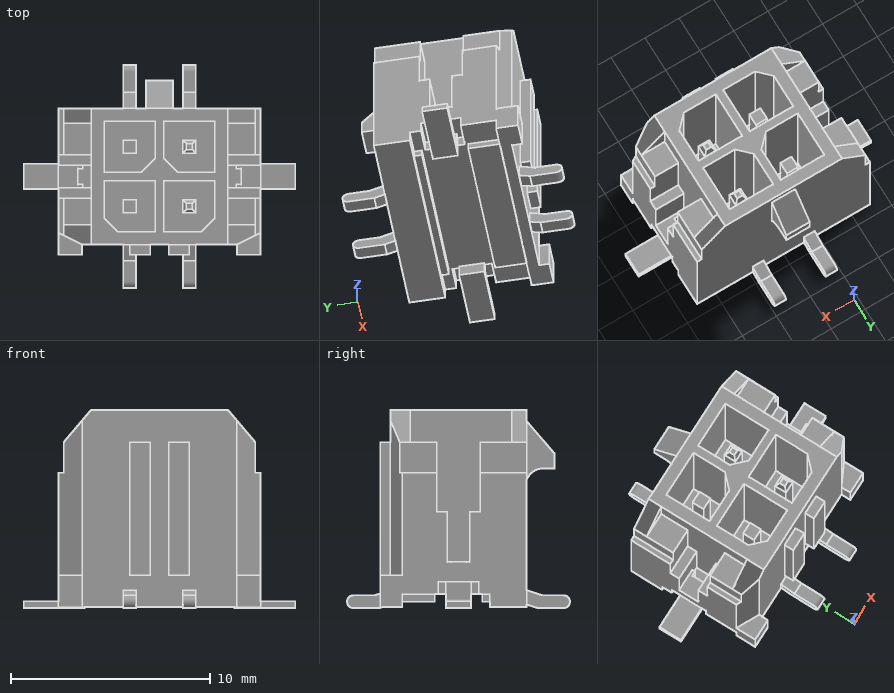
import cadquery as cq
import math

pitch = 3.0
standoff = 0.05
height = 9.96
core_half_x = 3.435
body_half_x = 5.08
body_half_y = 3.42
upper_half_x = 4.81
step_z = 6.8
shoulder_z = 8.34
front_web_thickness = 1.0
back_web_thickness = 0.75

slot_half_wide = 1.1
slot_wide_floor_z = 4.83
slot_half_narrow = 0.57
slot_narrow_floor_z = 2.33

corner_cut_x = 1.20
corner_cut_y = 0.6
foot_top_z = 1.66
front_projection = 0.52
rib_width = 1.03
rib_spacing = 1.94
rib_top_z = shoulder_z

relief_front_y = -body_half_y + corner_cut_y
relief_back_y = 1.58
core_bottom_z = 0.32
channel_half_y = 1.18
channel_roof_z = 0.70
notch_half_y = 1.01
notch_roof_z = 1.32

cavity_size = 2.56
cavity_chamfer = 0.69
cavity_floor_z = 2.0
contact_width = 0.65
contact_tip_width = 0.3
contact_tip_length = 0.4
contact_top_z = 7.0
tail_tip_y = 5.6
tail_bend_y = 4.22
tail_bend_offset = 0.25
tail_rise = 0.26
tail_embed = 0.4

tab_half_x = 6.825
tab_width = 1.28
tab_thickness = 0.35
tab_leg_x = 4.10
tab_bend_radius = 0.1
tab_pocket_half_y = 0.4
notch_wall_x = 3.85

latch_width = 1.37
latch_tip_y = 4.82
latch_top_z = 9.4
latch_nose_top_z = 7.77
latch_nose_bottom_z = 7.01
latch_arc_y = 4.25
latch_root_z = 6.43


def box(x_range, y_range, z_range):
    """Axis-aligned block spanning the three given (min, max) ranges."""
    size = [top - bottom for bottom, top in (x_range, y_range, z_range)]
    origin = (x_range[0], y_range[0], z_range[0])
    return cq.Workplane("XY").box(*size, centered=False).translate(origin)


def both_sides(left):
    """The given -X side feature together with its mirror image."""
    return left.union(left.mirror("YZ"))


def make_shell():
    """Stepped and sloped front outline, extruded from the front face to the back face."""
    half_outline = [
        (0, standoff),
        (-body_half_x, standoff),
        (-body_half_x, step_z),
        (-upper_half_x, step_z),
        (-upper_half_x, shoulder_z),
        (-core_half_x, height),
        (0, height),
    ]
    half = cq.Workplane("XZ").polyline(half_outline).close().extrude(body_half_y, both=True)
    return both_sides(half)


def make_side_cuts():
    """Shoulder recess and two-width slot, cut down to the core."""
    to_core = (-body_half_x, -core_half_x)
    web_gap = (-body_half_y + front_web_thickness, body_half_y - back_web_thickness)
    cuts = box(to_core, web_gap, (shoulder_z, height))
    for half_width, floor_z in (
        (slot_half_wide, slot_wide_floor_z),
        (slot_half_narrow, slot_narrow_floor_z),
    ):
        cuts = cuts.union(box(to_core, (-half_width, half_width), (floor_z, height)))

    pocket_z = (notch_roof_z, slot_narrow_floor_z)
    inner = (-notch_wall_x, -core_half_x)
    outer = (-tab_leg_x, -notch_wall_x)
    cuts = cuts.union(box(inner, (-slot_half_narrow, slot_half_narrow), pocket_z))
    cuts = cuts.union(box(outer, (-tab_pocket_half_y, tab_pocket_half_y), pocket_z))
    return both_sides(cuts)


def make_corner_cuts():
    """Slanted front corners above the feet."""
    corner = [
        (-body_half_x, -body_half_y),
        (-body_half_x + corner_cut_x, -body_half_y),
        (-body_half_x, -body_half_y + corner_cut_y),
    ]
    cut = cq.Workplane("XY", origin=(0, 0, foot_top_z)).polyline(corner).close().extrude(height)
    return both_sides(cut)


def make_underside_cuts():
    """Relief between the feet, the cross channel and the side notches."""
    full_x = (-body_half_x, body_half_x)
    side_x = (-body_half_x, -notch_wall_x)
    relief_y = (relief_front_y, relief_back_y)
    cuts = box(full_x, relief_y, (standoff, core_bottom_z))
    cuts = cuts.union(box(full_x, (-channel_half_y, channel_half_y), (standoff, channel_roof_z)))
    side = box(side_x, relief_y, (standoff, channel_roof_z))
    side = side.union(box(side_x, (-notch_half_y, notch_half_y), (standoff, notch_roof_z)))
    return cuts.union(both_sides(side))


def make_feet():
    """Blocks standing out of the front face at the lower corners."""
    foot = box(
        (-body_half_x, -body_half_x + corner_cut_x),
        (-body_half_y - front_projection, -body_half_y + corner_cut_y),
        (standoff, foot_top_z),
    )
    return both_sides(foot)


def make_ribs():
    """Two upright ribs on the front face."""
    inner_x = -(rib_spacing - rib_width) / 2
    rib = box(
        (inner_x - rib_width, inner_x),
        (-body_half_y - front_projection, -body_half_y),
        (foot_top_z, rib_top_z),
    )
    return both_sides(rib)


def make_latch():
    """Hooked locking ramp on the back face."""
    profile = (
        cq.Workplane("YZ")
        .moveTo(body_half_y, latch_top_z)
        .lineTo(latch_tip_y, latch_nose_top_z)
        .lineTo(latch_tip_y, latch_nose_bottom_z)
        .lineTo(latch_arc_y, latch_nose_bottom_z)
        .tangentArcPoint((body_half_y, latch_root_z), relative=False)
        .close()
    )
    return profile.extrude(latch_width / 2, both=True)


def make_cavity(column, row):
    """Square cavity with one chamfered corner; column and row are -1 or +1."""
    cavity = (
        cq.Workplane("XY", origin=(column * pitch / 2, row * pitch / 2, cavity_floor_z))
        .rect(cavity_size, cavity_size)
        .extrude(height - cavity_floor_z)
    )
    chamfered_x = -column * row
    corner_edge = "|Z and <Y and <X" if chamfered_x < 0 else "|Z and <Y and >X"
    return cavity.edges(corner_edge).chamfer(cavity_chamfer)


def make_contact(column, row):
    """Upright square contact; the right column has tapered tips, the left column flat ends."""
    tip_length = contact_tip_length if column > 0 else 0
    shank_top_z = contact_top_z - tip_length
    contact = (
        cq.Workplane("XY", origin=(column * pitch / 2, row * pitch / 2, cavity_floor_z))
        .rect(contact_width, contact_width)
        .extrude(shank_top_z - cavity_floor_z)
    )
    if tip_length > 0:
        taper = math.degrees(math.atan2((contact_width - contact_tip_width) / 2, tip_length))
        contact = contact.faces(">Z").wires().toPending().extrude(tip_length, taper=taper)
    return contact


def make_back_tail():
    """Bent surface-mount tail with a rounded end, pointing to +Y and centred on X = 0."""
    slope = tail_rise / (tail_bend_y - body_half_y)
    inner_y = body_half_y - tail_embed
    lower_bend_y = tail_bend_y - tail_bend_offset
    end_radius = contact_width / 2
    round_start_y = tail_tip_y - end_radius
    profile = (
        cq.Workplane("YZ")
        .moveTo(inner_y, contact_width + slope * (tail_bend_y - inner_y))
        .lineTo(tail_bend_y, contact_width)
        .lineTo(round_start_y, contact_width)
        .threePointArc((tail_tip_y, end_radius), (round_start_y, 0))
        .lineTo(lower_bend_y, 0)
        .lineTo(inner_y, slope * (lower_bend_y - inner_y))
        .close()
    )
    return profile.extrude(contact_width / 2, both=True)


def make_solder_tabs():
    """L-shaped tabs: a flat plate on the board and a leg rising into the housing."""
    half_width = tab_width / 2
    leg_inner_x = tab_leg_x - tab_thickness
    profile = (
        cq.Workplane("XZ")
        .moveTo(-tab_half_x, 0)
        .lineTo(-leg_inner_x, 0)
        .lineTo(-leg_inner_x, notch_roof_z)
        .lineTo(-tab_leg_x, notch_roof_z)
        .lineTo(-tab_leg_x, tab_thickness + tab_bend_radius)
        .radiusArc((-tab_leg_x - tab_bend_radius, tab_thickness), tab_bend_radius)
        .lineTo(-tab_half_x, tab_thickness)
        .close()
    )
    return both_sides(profile.extrude(half_width, both=True))


result = make_shell()
for cut in (make_side_cuts(), make_corner_cuts(), make_underside_cuts()):
    result = result.cut(cut)
for addition in (make_feet(), make_ribs(), make_latch(), make_solder_tabs()):
    result = result.union(addition)

tail = make_back_tail()
for column in (-1, 1):
    for row in (-1, 1):
        result = result.cut(make_cavity(column, row))
        result = result.union(make_contact(column, row))
        facing_tail = tail if row > 0 else tail.mirror("XZ")
        result = result.union(facing_tail.translate((column * pitch / 2, 0, 0)))